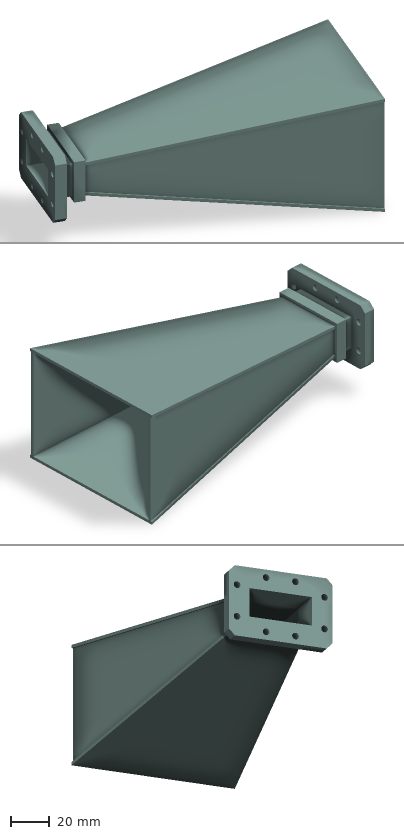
import cadquery as cq

length = 175.0
mouth_width = 91.5
mouth_height = 66.7
bore_width = 34.8
bore_height = 15.8
wall = 1.5
plate_wall = 1.8
plate_overhang = 0.9

flange_width = 58.1
flange_height = 38.9
flange_chamfer = 3.3
flange_length = 6.5
neck_length = 6.5
collar_width = 43.2
collar_height = 23.8
collar_length = 6.3

hole_diameter = 3.7
side_hole_x = 24.5
side_hole_z = 8.8
edge_hole_x = 8.2
edge_hole_z = 15.0

neck_width = bore_width + 2 * wall
neck_height = bore_height + 2 * wall
neck_start = flange_length
collar_start = neck_start + neck_length
horn_start = collar_start + collar_length
horn_length = length - horn_start
throat_width = neck_width + 2 * plate_overhang
throat_height = bore_height + 2 * plate_wall
side_mouth_width = mouth_width - 2 * plate_overhang
inner_mouth_width = side_mouth_width - 2 * wall
inner_mouth_height = mouth_height - 2 * plate_wall


def plane_at(y):
    """Plane across the waveguide at y, with its normal along +Y."""
    return cq.Workplane(cq.Plane(origin=(0, y, 0), xDir=(1, 0, 0), normal=(0, 1, 0)))


def block(y, width, height, depth):
    """Rectangular section of the straight waveguide."""
    return plane_at(y).rect(width, height).extrude(depth)


def taper(width, height, end_width, end_height):
    """Rectangular pyramid frustum from the throat to the mouth."""
    return (
        plane_at(horn_start)
        .rect(width, height)
        .workplane(offset=horn_length)
        .rect(end_width, end_height)
        .loft(ruled=True)
    )


hole_points = []
for x_sign in (-1, 1):
    for z_sign in (-1, 1):
        hole_points.append((x_sign * side_hole_x, z_sign * side_hole_z))
        hole_points.append((x_sign * edge_hole_x, z_sign * edge_hole_z))

flange = block(0, flange_width, flange_height, flange_length).edges("|Y").chamfer(flange_chamfer)
bolt_holes = plane_at(0).pushPoints(hole_points).circle(hole_diameter / 2).extrude(flange_length)
flange = flange.cut(bolt_holes)

neck = block(neck_start, neck_width, neck_height, neck_length)
collar = block(collar_start, collar_width, collar_height, collar_length)
bore = plane_at(0).rect(bore_width, bore_height).extrude(horn_start)
straight = flange.union(neck).union(collar).cut(bore)

plates = taper(throat_width, throat_height, mouth_width, mouth_height).cut(
    taper(throat_width, bore_height, mouth_width, inner_mouth_height)
)
side_walls = taper(neck_width, bore_height, side_mouth_width, inner_mouth_height).cut(
    taper(bore_width, bore_height, inner_mouth_width, inner_mouth_height)
)

result = straight.union(plates).union(side_walls)